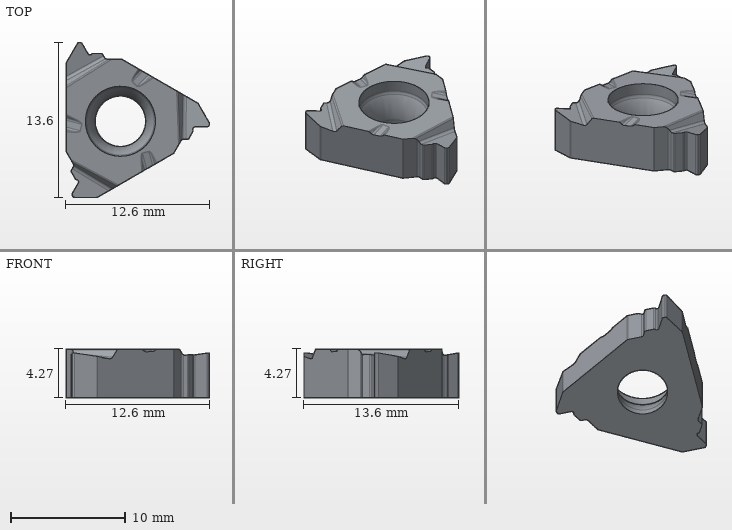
import cadquery as cq
import math


overall_length = 13.57
thickness = 4.27
inscribed_radius = 4.76
corner_count = 3
corner_turn = 360 / corner_count

tooth_half_angle = 30.0
tip_start_x = -3.72
tip_end_x = -3.4
tip_radius = 0.2
flank_slope = 1 / math.tan(math.radians(tooth_half_angle))
flank_cosine = math.cos(math.radians(tooth_half_angle))
flank_sine = math.sin(math.radians(tooth_half_angle))
tip_y = (overall_length + tip_start_x * flank_cosine) / (1 + flank_sine)

root_y = 5.82
root_radius = 0.12
root_end_radius = 0.03
crest_y = 5.95
crest_start_x = -2.5
crest_end_x = -1.6
crest_start_radius = 0.2
crest_end_radius = 0.14
shoulder_y = 5.44
step_radius = 0.27
body_edge_radius = 0.16

hole_radius = 4.4 / 2
counterbore_radius = 6.13 / 2
counterbore_depth = 1.05
seat_radius = 3.61
seat_angle = 38.0

rake_angle = 10.0
tip_drop = 0.33
wall_angle = 58.0
wall_direction = 32.0
wall_top_start_y = 3.03
floor_blend_radius = 0.33
wall_top_radius = 0.16
chip_floor_reach = 6.1
chip_wall_reach = 2.71
chip_cutter_length = 16.28

notch_y = -0.2
notch_direction = -15.0
notch_length = 1.36
notch_depth = 0.23
notch_floor_width = 0.81
notch_wall_angle = 40.0
notch_corner_radius = 0.33
notch_rim_radius = 0.16
notch_overrun = 0.68


def turned(point, angle):
    """Turn a plan point about the part axis."""
    cosine = math.cos(math.radians(angle))
    sine = math.sin(math.radians(angle))
    x, y = point
    return (x * cosine - y * sine, x * sine + y * cosine)


def corner_vertices():
    """Sharp outline vertices of one corner, clockwise, each with its rounding radius."""
    side_x = -inscribed_radius
    turn = math.radians(corner_turn / 2)
    shoulder_end_x = (inscribed_radius - shoulder_y * math.sin(turn)) / math.cos(turn)
    return [
        ((side_x, tip_y - (tip_start_x - side_x) * flank_slope), body_edge_radius),
        ((tip_start_x, tip_y), tip_radius),
        ((tip_end_x, tip_y), tip_radius),
        ((tip_end_x + (tip_y - root_y) / flank_slope, root_y), root_radius),
        ((crest_start_x - (crest_y - root_y) / flank_slope, root_y), root_end_radius),
        ((crest_start_x, crest_y), crest_start_radius),
        ((crest_end_x, crest_y), crest_end_radius),
        ((crest_end_x + (crest_y - shoulder_y) / flank_slope, shoulder_y), step_radius),
        ((shoulder_end_x, shoulder_y), body_edge_radius),
    ]


def rounding_arc(before, corner, after, radius):
    """Start, middle and end of the arc that rounds a sharp corner."""
    corner = cq.Vector(*corner)
    back = (cq.Vector(*before) - corner).normalized()
    ahead = (cq.Vector(*after) - corner).normalized()
    half_angle = back.getAngle(ahead) / 2
    tangent_length = radius / math.tan(half_angle)
    middle_distance = radius / math.sin(half_angle) - radius
    bisector = (back + ahead).normalized()
    return (
        corner + back * tangent_length,
        corner + bisector * middle_distance,
        corner + ahead * tangent_length,
    )


def make_body():
    """Insert blank with the full outline of all three corners."""
    vertices = []
    for index in range(corner_count):
        for point, radius in corner_vertices():
            vertices.append((turned(point, -index * corner_turn), radius))
    arcs = []
    for index, (point, radius) in enumerate(vertices):
        before = vertices[index - 1][0]
        after = vertices[(index + 1) % len(vertices)][0]
        arcs.append(rounding_arc(before, point, after, radius))
    last_end = arcs[-1][2]
    outline = cq.Workplane("XY").moveTo(last_end.x, last_end.y)
    for start, middle, end in arcs:
        outline = outline.lineTo(start.x, start.y)
        outline = outline.threePointArc((middle.x, middle.y), (end.x, end.y))
    return outline.close().extrude(thickness)


def make_screw_hole():
    """Bore, convex screw seat and counterbore, blended into one another."""
    angle = math.radians(seat_angle)
    seat_end_radius = hole_radius + seat_radius * (1 - math.cos(angle))
    blend_width = counterbore_radius - seat_end_radius
    blend_radius = blend_width / (1 - math.cos(angle))
    blend_start_z = thickness - counterbore_depth
    blend_end_z = blend_start_z - blend_radius * math.sin(angle)
    seat_bottom_z = blend_end_z - seat_radius * math.sin(angle)
    seat_middle = (
        hole_radius + seat_radius * (1 - math.cos(angle / 2)),
        seat_bottom_z + seat_radius * math.sin(angle / 2),
    )
    blend_middle = (
        counterbore_radius - blend_radius * (1 - math.cos(angle / 2)),
        blend_start_z - blend_radius * math.sin(angle / 2),
    )
    return (
        cq.Workplane("XZ")
        .lineTo(hole_radius, 0)
        .lineTo(hole_radius, seat_bottom_z)
        .threePointArc(seat_middle, (seat_end_radius, blend_end_z))
        .threePointArc(blend_middle, (counterbore_radius, blend_start_z))
        .lineTo(counterbore_radius, thickness)
        .lineTo(0, thickness)
        .close()
        .revolve(360, (0, 0), (0, 1))
    )


def make_chip_breaker():
    """Wedge between the rake face and the chip wall, running along their crease."""
    rake = math.radians(rake_angle)
    wall = math.radians(wall_angle)
    heading = math.radians(wall_direction)
    floor_normal = cq.Vector(0, -math.sin(rake), math.cos(rake))
    wall_normal = cq.Vector(
        -math.sin(heading) * math.sin(wall),
        math.cos(heading) * math.sin(wall),
        math.cos(wall),
    )
    crease = floor_normal.cross(wall_normal).normalized()
    along_floor = crease.cross(floor_normal)

    drop_at_wall_top = tip_drop + (tip_y - wall_top_start_y) * math.tan(rake)
    wall_drop_rate = math.tan(wall) * math.cos(heading)
    crease_rise = drop_at_wall_top / (wall_drop_rate + math.tan(rake))
    origin = cq.Vector(
        -inscribed_radius,
        wall_top_start_y + crease_rise,
        thickness - wall_drop_rate * crease_rise,
    )
    plane = cq.Plane(origin=origin, xDir=along_floor, normal=along_floor.cross(floor_normal))
    opening = math.pi - floor_normal.getAngle(wall_normal)
    floor_end = (chip_floor_reach, 0)
    wall_end = (chip_wall_reach * math.cos(opening), chip_wall_reach * math.sin(opening))
    start, middle, end = rounding_arc(floor_end, (0, 0), wall_end, floor_blend_radius)
    return (
        cq.Workplane(plane)
        .moveTo(*floor_end)
        .lineTo(start.x, start.y)
        .threePointArc((middle.x, middle.y), (end.x, end.y))
        .lineTo(*wall_end)
        .close()
        .extrude(chip_cutter_length / 2, both=True)
    )


def make_side_notch():
    """Channel whose floor climbs from the side of the insert to its top face."""
    heading = math.radians(notch_direction)
    ramp = math.atan2(notch_depth, notch_length)
    inward = cq.Vector(
        math.cos(heading) * math.cos(ramp),
        math.sin(heading) * math.cos(ramp),
        math.sin(ramp),
    )
    across = cq.Vector(-math.sin(heading), math.cos(heading), 0)
    plane = cq.Plane(
        origin=cq.Vector(-inscribed_radius, notch_y, thickness - notch_depth) - inward * notch_overrun,
        xDir=across,
        normal=inward,
    )
    half_floor = notch_floor_width / 2
    height = notch_depth * 2
    half_top = half_floor + height / math.tan(math.radians(notch_wall_angle))
    profile = [(-half_top, height), (-half_floor, 0), (half_floor, 0), (half_top, height)]
    left_arc = rounding_arc(profile[0], profile[1], profile[2], notch_corner_radius)
    right_arc = rounding_arc(profile[1], profile[2], profile[3], notch_corner_radius)
    channel = cq.Workplane(plane).moveTo(*profile[0])
    for start, middle, end in (left_arc, right_arc):
        channel = channel.lineTo(start.x, start.y).threePointArc((middle.x, middle.y), (end.x, end.y))
    return channel.lineTo(*profile[3]).close().extrude(notch_length + 2 * notch_overrun)


def wall_top_midpoint(index):
    """A point close to the middle of the edge between a chip wall and the top face."""
    half_run = (shoulder_y - wall_top_start_y) / math.tan(math.radians(wall_direction)) / 2
    middle = (-inscribed_radius + half_run, (wall_top_start_y + shoulder_y) / 2)
    return (*turned(middle, index * corner_turn), thickness)


def notch_rim_point(index, side):
    """A point close to the middle of one long rim edge of a side notch."""
    along = notch_length / 3
    remaining_depth = notch_depth * 2 / 3
    across = notch_floor_width / 2 + remaining_depth / math.tan(math.radians(notch_wall_angle))
    x, y = turned((along, side * across), notch_direction)
    middle = (x - inscribed_radius, y + notch_y)
    return (*turned(middle, index * corner_turn), thickness)


result = make_body()
for index in range(corner_count):
    result = result.cut(make_chip_breaker().rotate((0, 0, 0), (0, 0, 1), index * corner_turn))
for index in range(corner_count):
    wall_top = cq.selectors.NearestToPointSelector(wall_top_midpoint(index))
    result = result.edges(wall_top).fillet(wall_top_radius)
for index in range(corner_count):
    result = result.cut(make_side_notch().rotate((0, 0, 0), (0, 0, 1), index * corner_turn))
notch_rims = []
for index in range(corner_count):
    for side in (1, -1):
        rim = cq.selectors.NearestToPointSelector(notch_rim_point(index, side))
        notch_rims.append(result.faces(">Z").edges(rim).val())
result = result.newObject(notch_rims).fillet(notch_rim_radius)
result = result.cut(make_screw_hole())